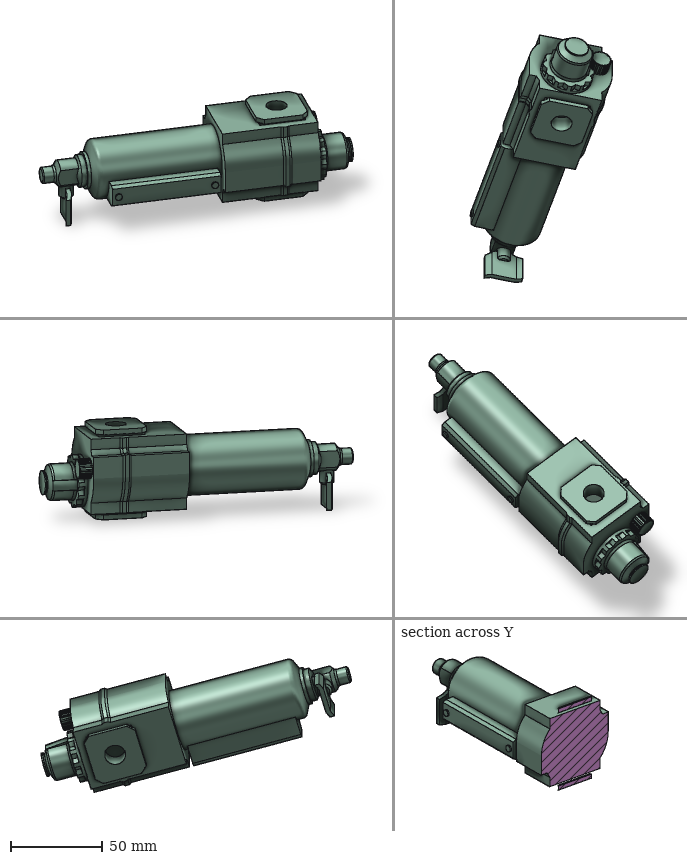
import cadquery as cq
import math


HOUSING_LENGTH = 54.5
HOUSING_HEIGHT = 42.2
WALL_X = 17.7
FLANK_X = 23.6
FLANK_EDGE_Z = 12.0
SHOULDER_X = 19.6
SLOPE_TOP_Z = 15.2
ARC_END_Z = 14.7

PORT_Y = 35.5
BEAD_HEIGHT = 0.7
BEAD_WIDTH = 4.7
BEAD_CREST = 2.3
PORT_FACE_Z = 25.2
PORT_PLATE_SIZE = 29.2
PORT_PLATE_THICKNESS = 2.8
PORT_PLATE_CHAMFER = 3.7
PORT_NECK_SIZE = 26.0
PORT_HOLE_DIAMETER = 11.4
PORT_HOLE_DEPTH = 10.5

BOWL_RADIUS = 16.8
BOWL_SHOULDER_Y = -69.2
BOWL_SHOULDER_FILLET = 3.0
BOWL_END_RADIUS = 10.3
BOWL_CONE_END_Y = -72.5

GAUGE_X = 24.0
GAUGE_TOP_Z = 0.0
GAUGE_BOTTOM_Z = -12.6
GAUGE_BACK_Y = -2.5
GAUGE_FRONT_Y = -64.3
GAUGE_EDGE_CHAMFER_X = 2.1
GAUGE_EDGE_CHAMFER_Z = 1.2
SCREW_RADIUS = 2.0
SCREW_FACE_X = 24.9
SCREW_INSET = 3.5

DRAIN_TIP_Y = -98.5
RING_END_Y = -74.5
GROOVE_RADIUS = 8.8
COLLAR_RADIUS = 9.1
COLLAR_START_Y = -75.8
COLLAR_END_Y = -77.5
COLLAR_CONE_RADIUS = 6.0
COLLAR_CONE_END_Y = -79.5
STEM_RADIUS = 7.5
STEM_END_Y = -88.8
STEM_FLAT_X = 6.0
STEM_CONE_RADIUS = 5.0
STEM_CONE_END_Y = -90.9
PIN_RADIUS = 4.5
PIN_START_Y = -92.1
PIN_CHAMFER = 0.7
BOSS_Y = -84.2
BOSS_RADIUS = 4.0
BOSS_END_Z = -14.9
BOSS_CHAMFER = 1.2
WING_HALF_WIDTH = 10.3
WING_BEND_X = 7.0
WING_BEND_SHIFT = 1.4
WING_THICKNESS = 2.6
WING_BOTTOM_Z = -27.7
WING_SIDE_TOP_Z = -11.9
WING_INNER_X = 3.3
WING_INNER_TOP_Z = -7.7

DOME_X = 2.6
DOME_Z = -6.1
DOME_RADIUS = 10.2
DOME_BASE_Y = 61.3
DOME_TOP_Y = 72.2
DOME_RIM_Y = 73.2
DOME_RIM_RADIUS = 9.6
DOME_LIP_RADIUS = 10.7
DOME_NECK_RADIUS = 5.8
DOME_NECK_START_Y = 75.0
DOME_CAP_RADIUS = 6.7
DOME_CAP_START_Y = 75.8
DOME_CAP_END_Y = 76.7
NUT_RADIUS = 14.5
NUT_FLANGE_LENGTH = 2.0
NUT_LENGTH = 5.3
NUT_NOTCHES = 12
NUT_NOTCH_DEPTH = 1.4
NUT_NOTCH_HALF_ANGLE = 10.5
NUT_NOTCH_OVERSHOOT = 2.0
NUT_FIRST_NOTCH_ANGLE = -12.0
RIB_BASE_RADIUS = 11.5
RIB_TOP_RADIUS = 10.3
RIB_WIDTH = 5.8
RIB_ROOT_X = -7.9

PLUG_X = -15.5
PLUG_Z = 4.4
PLUG_RADIUS = 5.6
PLUG_LENGTH = 7.2
PLUG_CHAMFER = 0.4
PLUG_GROOVES = 16
PLUG_GROOVE_WIDTH = 0.9
PLUG_GROOVE_DEPTH = 0.5


def turned(points):
    """Solid of revolution about the Y axis from (radius, y) points."""
    return cq.Workplane("XY").polyline(points).close().revolve(360, (0, 0, 0), (0, 1, 0))


def along_y(y, x=0.0, z=0.0):
    """XZ sketch plane at the given Y; negative extrusions run toward +Y."""
    return cq.Workplane(cq.Plane(origin=(x, y, z), xDir=(1, 0, 0), normal=(0, -1, 0)))


def box_between(x0, x1, y0, y1, z0, z1):
    return cq.Workplane("XY").box(x1 - x0, y1 - y0, z1 - z0, centered=False).translate((x0, y0, z0))


def housing_outline(y, growth=0.0):
    """Closed outline with half-turn symmetry; growth moves the sides outward."""
    wall = WALL_X + growth
    flank = FLANK_X + growth
    shoulder = SHOULDER_X + growth
    edge = FLANK_EDGE_Z + growth
    top = HOUSING_HEIGHT / 2
    arc_radius = ((flank - wall) ** 2 + ARC_END_Z ** 2) / (2 * (flank - wall))
    arc_middle = math.asin(ARC_END_Z / arc_radius) / 2
    middle_x = flank - arc_radius * (1 - math.cos(arc_middle))
    middle_z = arc_radius * math.sin(arc_middle)
    return (
        along_y(y)
        .moveTo(-wall, top)
        .lineTo(wall, top)
        .lineTo(wall, ARC_END_Z)
        .threePointArc((middle_x, middle_z), (flank, 0))
        .lineTo(flank, -edge)
        .lineTo(shoulder, -edge)
        .lineTo(wall, -SLOPE_TOP_Z)
        .lineTo(wall, -top)
        .lineTo(-wall, -top)
        .lineTo(-wall, -ARC_END_Z)
        .threePointArc((-middle_x, -middle_z), (-flank, 0))
        .lineTo(-flank, edge)
        .lineTo(-shoulder, edge)
        .lineTo(-wall, SLOPE_TOP_Z)
        .close()
    )


def make_bead():
    """Raised band with a flat crest and sloping sides."""
    slope_width = (BEAD_WIDTH - BEAD_CREST) / 2
    start = PORT_Y - BEAD_WIDTH / 2
    crest_start = start + slope_width
    crest_end = crest_start + BEAD_CREST
    end = crest_end + slope_width
    bead = housing_outline(crest_start, BEAD_HEIGHT).extrude(-BEAD_CREST)
    for base_y, crest_y in ((start, crest_start), (end, crest_end)):
        base_wire = housing_outline(base_y).wires().val()
        crest_wire = housing_outline(crest_y, BEAD_HEIGHT).wires().val()
        bead = bead.union(cq.Workplane(cq.Solid.makeLoft([base_wire, crest_wire], True)))
    return bead


def make_port():
    """Square flange on a narrower neck, on the upper face."""
    plate_bottom = PORT_FACE_Z - PORT_PLATE_THICKNESS
    neck = (
        cq.Workplane("XY", origin=(0, PORT_Y, 0))
        .rect(PORT_NECK_SIZE, PORT_NECK_SIZE)
        .extrude(plate_bottom)
    )
    plate = (
        cq.Workplane("XY", origin=(0, PORT_Y, plate_bottom))
        .rect(PORT_PLATE_SIZE, PORT_PLATE_SIZE)
        .extrude(PORT_PLATE_THICKNESS)
        .edges("|Z")
        .chamfer(PORT_PLATE_CHAMFER)
    )
    return neck.union(plate)


def make_port_hole():
    return (
        cq.Workplane("XY", origin=(0, PORT_Y, PORT_FACE_Z))
        .circle(PORT_HOLE_DIAMETER / 2)
        .extrude(-PORT_HOLE_DEPTH)
    )


def make_housing():
    housing = housing_outline(0).extrude(-HOUSING_LENGTH).union(make_bead())
    port = make_port()
    hole = make_port_hole()
    housing = housing.union(port).union(port.mirror("XY"))
    return housing.cut(hole).cut(hole.mirror("XY"))


def make_gauge():
    """Level gauge bar with chamfered outer edges and two screw heads."""
    edge_x = GAUGE_X - GAUGE_EDGE_CHAMFER_X
    length = GAUGE_BACK_Y - GAUGE_FRONT_Y
    gauge = (
        along_y(GAUGE_FRONT_Y)
        .polyline([
            (0, GAUGE_TOP_Z),
            (edge_x, GAUGE_TOP_Z),
            (GAUGE_X, GAUGE_TOP_Z - GAUGE_EDGE_CHAMFER_Z),
            (GAUGE_X, GAUGE_BOTTOM_Z + GAUGE_EDGE_CHAMFER_Z),
            (edge_x, GAUGE_BOTTOM_Z),
            (0, GAUGE_BOTTOM_Z),
        ])
        .close()
        .extrude(-length)
    )
    middle_z = (GAUGE_TOP_Z + GAUGE_BOTTOM_Z) / 2
    for y in (GAUGE_BACK_Y - SCREW_INSET, GAUGE_FRONT_Y + SCREW_INSET):
        screw = cq.Workplane("YZ", origin=(0, y, middle_z)).circle(SCREW_RADIUS).extrude(SCREW_FACE_X)
        gauge = gauge.union(screw)
    return gauge


def make_bowl():
    shell = turned([
        (0, 0),
        (BOWL_RADIUS, 0),
        (BOWL_RADIUS, BOWL_SHOULDER_Y),
        (BOWL_END_RADIUS, BOWL_CONE_END_Y),
        (0, BOWL_CONE_END_Y),
    ])
    shoulder = shell.edges(cq.selectors.NearestToPointSelector((0, BOWL_SHOULDER_Y, 0)))
    return shoulder.fillet(BOWL_SHOULDER_FILLET).union(make_gauge())


def make_wing():
    """Grip plate with its two side strips bent opposite ways."""
    half = WING_THICKNESS / 2
    outline = [
        (-WING_HALF_WIDTH, WING_BEND_SHIFT),
        (-WING_BEND_X, 0),
        (WING_BEND_X, 0),
        (WING_HALF_WIDTH, -WING_BEND_SHIFT),
    ]
    section = [(x, y + half) for x, y in outline] + [(x, y - half) for x, y in reversed(outline)]
    bent_plate = (
        cq.Workplane("XY", origin=(0, BOSS_Y, WING_BOTTOM_Z))
        .polyline(section)
        .close()
        .extrude(-WING_BOTTOM_Z)
    )
    face = (
        along_y(BOSS_Y)
        .polyline([
            (-WING_HALF_WIDTH, WING_BOTTOM_Z),
            (-WING_HALF_WIDTH, WING_SIDE_TOP_Z),
            (-WING_INNER_X, WING_INNER_TOP_Z),
            (WING_INNER_X, WING_INNER_TOP_Z),
            (WING_HALF_WIDTH, WING_SIDE_TOP_Z),
            (WING_HALF_WIDTH, WING_BOTTOM_Z),
        ])
        .close()
        .extrude(WING_HALF_WIDTH, both=True)
    )
    return bent_plate.intersect(face)


def make_drain():
    collar = turned([
        (0, BOWL_CONE_END_Y),
        (BOWL_END_RADIUS, BOWL_CONE_END_Y),
        (BOWL_END_RADIUS, RING_END_Y),
        (GROOVE_RADIUS, RING_END_Y),
        (COLLAR_RADIUS, COLLAR_START_Y),
        (COLLAR_RADIUS, COLLAR_END_Y),
        (COLLAR_CONE_RADIUS, COLLAR_CONE_END_Y),
        (0, COLLAR_CONE_END_Y),
    ])
    stem = turned([
        (0, COLLAR_END_Y),
        (STEM_RADIUS, COLLAR_END_Y),
        (STEM_RADIUS, STEM_END_Y),
        (STEM_CONE_RADIUS, STEM_CONE_END_Y),
        (PIN_RADIUS, PIN_START_Y),
        (PIN_RADIUS, DRAIN_TIP_Y + PIN_CHAMFER),
        (PIN_RADIUS - PIN_CHAMFER, DRAIN_TIP_Y),
        (0, DRAIN_TIP_Y),
    ])
    flats = box_between(
        -STEM_FLAT_X, STEM_FLAT_X, DRAIN_TIP_Y, COLLAR_END_Y, -STEM_RADIUS, STEM_RADIUS
    )
    boss = (
        cq.Workplane("XY", origin=(0, BOSS_Y, 0))
        .circle(BOSS_RADIUS)
        .extrude(BOSS_END_Z)
        .faces("<Z")
        .chamfer(BOSS_CHAMFER)
    )
    return collar.union(stem.intersect(flats)).union(boss).union(make_wing())


def make_dome_rib():
    """Rib on the -X side of the dome, its outer face part of a cone."""
    nut_end = HOUSING_LENGTH + NUT_LENGTH
    cone = turned([
        (0, nut_end),
        (RIB_BASE_RADIUS, nut_end),
        (RIB_TOP_RADIUS, DOME_RIM_Y),
        (0, DOME_RIM_Y),
    ])
    half_width = RIB_WIDTH / 2
    strip = box_between(-RIB_BASE_RADIUS, RIB_ROOT_X, nut_end, DOME_RIM_Y, -half_width, half_width)
    return cone.intersect(strip)


def make_nut():
    """Retaining nut with V notches around its outer end."""
    flange_end = HOUSING_LENGTH + NUT_FLANGE_LENGTH
    nut = along_y(HOUSING_LENGTH).circle(NUT_RADIUS).extrude(-NUT_LENGTH)
    half_angle = math.radians(NUT_NOTCH_HALF_ANGLE)
    mouth_half_width = NUT_RADIUS * math.sin(half_angle)
    mouth_radius = NUT_RADIUS * math.cos(half_angle)
    valley_radius = mouth_radius - NUT_NOTCH_DEPTH
    cutter_half_width = mouth_half_width * NUT_NOTCH_OVERSHOOT
    cutter_top = valley_radius + NUT_NOTCH_DEPTH * NUT_NOTCH_OVERSHOOT
    notch = (
        along_y(flange_end)
        .polyline([
            (0, valley_radius),
            (cutter_half_width, cutter_top),
            (-cutter_half_width, cutter_top),
        ])
        .close()
        .extrude(-NUT_LENGTH)
    )
    for i in range(NUT_NOTCHES):
        angle = NUT_FIRST_NOTCH_ANGLE + i * 360 / NUT_NOTCHES
        nut = nut.cut(notch.rotate((0, 0, 0), (0, 1, 0), angle))
    return nut


def make_dome():
    dome = turned([
        (0, HOUSING_LENGTH),
        (DOME_LIP_RADIUS, HOUSING_LENGTH),
        (DOME_LIP_RADIUS, HOUSING_LENGTH + NUT_LENGTH),
        (DOME_RADIUS, DOME_BASE_Y),
        (DOME_RADIUS, DOME_TOP_Y),
        (DOME_RIM_RADIUS, DOME_RIM_Y),
        (DOME_NECK_RADIUS, DOME_NECK_START_Y),
        (DOME_NECK_RADIUS, DOME_CAP_START_Y),
        (DOME_CAP_RADIUS, DOME_CAP_START_Y),
        (DOME_CAP_RADIUS, DOME_CAP_END_Y),
        (0, DOME_CAP_END_Y),
    ])
    return dome.union(make_nut()).union(make_dome_rib()).translate((DOME_X, 0, DOME_Z))


def make_plug():
    """Knurled filler plug."""
    plug = (
        along_y(HOUSING_LENGTH)
        .circle(PLUG_RADIUS)
        .extrude(-PLUG_LENGTH)
        .faces(">Y")
        .chamfer(PLUG_CHAMFER)
    )
    groove = (
        along_y(HOUSING_LENGTH, z=PLUG_RADIUS)
        .rect(PLUG_GROOVE_WIDTH, 2 * PLUG_GROOVE_DEPTH)
        .extrude(-PLUG_LENGTH)
    )
    for i in range(PLUG_GROOVES):
        plug = plug.cut(groove.rotate((0, 0, 0), (0, 1, 0), i * 360 / PLUG_GROOVES))
    return plug.translate((PLUG_X, 0, PLUG_Z))


housing = make_housing()
bowl = make_bowl()
drain = make_drain()
dome = make_dome()
plug = make_plug()

result = cq.Compound.makeCompound([housing.val(), bowl.val(), drain.val(), dome.val(), plug.val()])